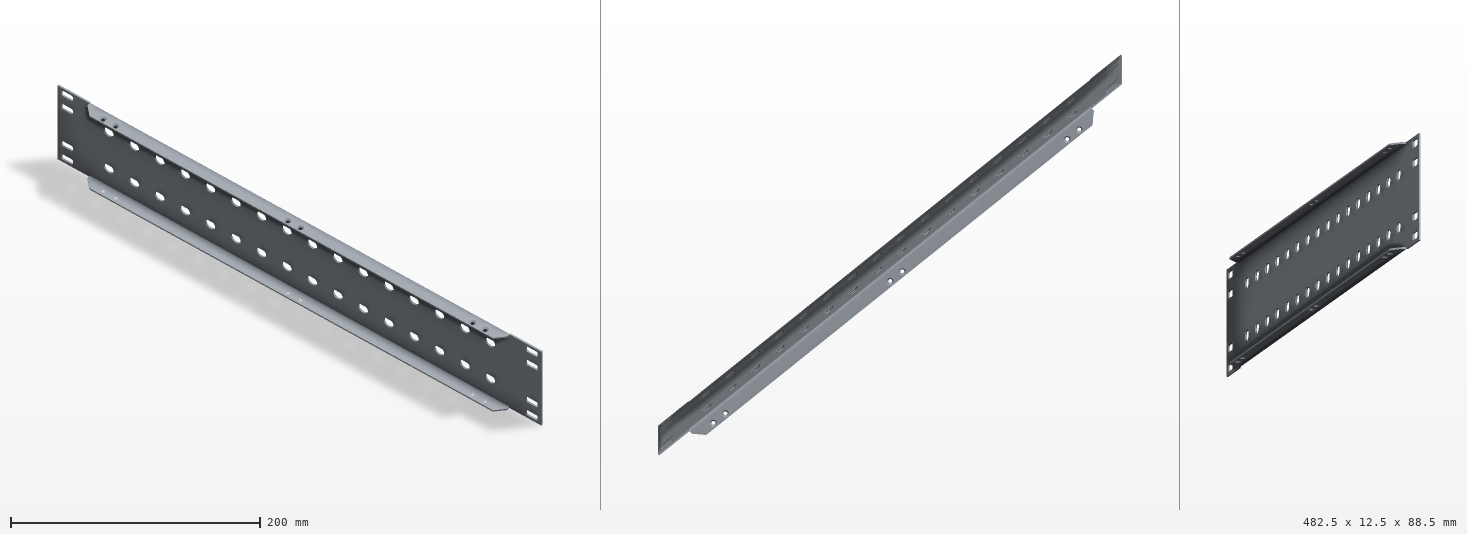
import cadquery as cq
import math

panel_length = 482.5
panel_height = 88.5
panel_depth = 12.5
sheet = 1.5
inner_bend_radius = 0.7
outer_bend_radius = inner_bend_radius + sheet

flange_length = 419.0
corner_cut_size = 8.0

hole_diameter = 9.5
hole_flat_height = 4.0
hole_count = 16
hole_row_length = 381.0
hole_pitch = hole_row_length / (hole_count - 1)
hole_row_spacing = 43.5
hole_rows = 2

slot_length = 11.5
slot_height = 6.5
slot_corner_radius = 1.5
slot_spacing = 464.0
slot_offsets = [22.0, 38.0]

fixing_diameter = 3.15
countersink_diameter = 6.0
countersink_depth = (countersink_diameter - fixing_diameter) / 2
fixing_setback = 8.5
fixing_offsets = [6.5, 178.0, 190.5]


def folded_channel():
    """Channel section with rounded bends, as long as the flanges."""

    def rounded_block(height, back, bend_radius):
        return (
            cq.Workplane("XY")
            .box(flange_length, panel_depth, height, centered=(True, False, True))
            .translate((0, back - panel_depth, 0))
            .edges("|X and >Y")
            .fillet(bend_radius)
        )

    outer = rounded_block(panel_height, 0, outer_bend_radius)
    inner = rounded_block(panel_height - 2 * sheet, -sheet, inner_bend_radius)
    return outer.cut(inner)


def flange_corner_cuts():
    """Triangular prisms that trim the front corners of both flanges."""
    half_length = flange_length / 2
    cuts = cq.Workplane("XY").workplane(offset=-panel_height / 2)
    for side in (-1, 1):
        cuts = cuts.polyline(
            [
                (side * half_length, -panel_depth),
                (side * (half_length - corner_cut_size), -panel_depth),
                (side * half_length, -panel_depth + corner_cut_size),
            ]
        ).close()
    return cuts.extrude(panel_height)


def end_plates():
    """Flat, full-height ends of the plate beyond the flanges."""
    end_length = (panel_length - flange_length) / 2
    end_centre = (panel_length - end_length) / 2
    return (
        cq.Workplane("XZ")
        .pushPoints([(-end_centre, 0), (end_centre, 0)])
        .rect(end_length, panel_height)
        .extrude(sheet)
    )


def plate_holes():
    """Two rows of D-shaped holes."""
    radius = hole_diameter / 2
    half_flat = math.sqrt(radius**2 - hole_flat_height**2)
    d_plug = (
        cq.Workplane("XZ")
        .moveTo(-half_flat, hole_flat_height)
        .threePointArc((0, -radius), (half_flat, hole_flat_height))
        .close()
        .extrude(sheet)
        .val()
    )
    holes = cq.Workplane("XY")
    for row in range(hole_rows):
        z = (row - (hole_rows - 1) / 2) * hole_row_spacing
        for column in range(hole_count):
            x = (column - (hole_count - 1) / 2) * hole_pitch
            holes = holes.add(d_plug.translate(cq.Vector(x, 0, z)))
    return holes.combine()


def rack_slots():
    """Round-cornered slots, four at each end."""
    places = [
        (side * slot_spacing / 2, level * offset)
        for side in (-1, 1)
        for level in (-1, 1)
        for offset in slot_offsets
    ]
    return (
        cq.Workplane("XZ")
        .pushPoints(places)
        .rect(slot_length, slot_height)
        .extrude(sheet)
        .edges("|Y")
        .fillet(slot_corner_radius)
    )


def flange_holes():
    """Holes through both flanges, countersunk from the outer faces."""
    places = [(side * offset, -fixing_setback) for side in (-1, 1) for offset in fixing_offsets]
    holes = (
        cq.Workplane("XY")
        .workplane(offset=-panel_height / 2)
        .pushPoints(places)
        .circle(fixing_diameter / 2)
        .extrude(panel_height)
    )
    cone = cq.Solid.makeCone(
        countersink_diameter / 2,
        fixing_diameter / 2,
        countersink_depth,
        pnt=cq.Vector(0, 0, panel_height / 2),
        dir=cq.Vector(0, 0, -1),
    )
    top_cones = cq.Workplane("XY").pushPoints(places).eachpoint(lambda place: cone.moved(place))
    return holes.union(top_cones).union(top_cones.mirror("XY"))


panel = folded_channel().cut(flange_corner_cuts()).union(end_plates())
result = panel.cut(plate_holes()).cut(rack_slots()).cut(flange_holes()).solids()